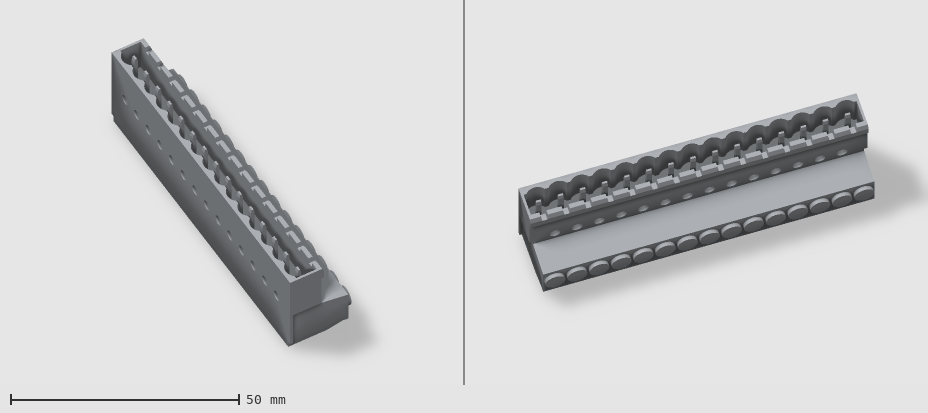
import cadquery as cq

pole_count = 15
pitch = 5.08
total_length = 77.8
total_height = 22.0

shroud_depth = 7.9
shroud_bottom = 10.8
end_wall = 0.58
pocket_back = 7.1
pocket_floor = 13.6
cusp_wall = 1.9
scallop_wall = 0.85
scallop_radius = 2.7

rail_bottom = 19.0
rail_nose_top = 20.85
rail_nose = 8.6
rail_top = 8.2
notch_bottom_width = 1.2
notch_top_width = 1.6
notch_depth = 1.3

plate_thickness = 0.7
plate_bottom = 1.6

block_length = pole_count * pitch
block_back = 15.25
block_top_back = 8.6
block_top_front = 9.9
foot_width = 0.9
foot_bottom = 0.7
foot_step = 0.2
slope_start = 9.9

screw_diameter = 4.6
screw_height = 5.45
screw_end = 16.2

hole_diameter = 2.4
hole_height = 12.0

pin_width = 1.2
pin_depth = 0.9
pin_y = 4.0
pin_top = 21.3
bevel_depth = 0.2
bevel_height = 1.0

overlap = 0.8

pole_positions = [(i - (pole_count - 1) / 2) * pitch for i in range(pole_count)]
gap_positions = [x + pitch / 2 for x in pole_positions[:-1]]


def centred_box(x, width, y_range, z_range):
    """Box of the given width centred on x, spanning the Y and Z ranges."""
    y_min, y_max = y_range
    z_min, z_max = z_range
    box = cq.Workplane("XY").box(width, y_max - y_min, z_max - z_min, centered=(True, False, False))
    return box.translate((x, y_min, z_min))


def extrude_profile(points, length):
    """Extrude a closed (Y, Z) outline along X, centred on X = 0."""
    return cq.Workplane("YZ").polyline(points).close().extrude(length / 2, both=True)


def make_shroud():
    outline = [
        (0, shroud_bottom),
        (shroud_depth, shroud_bottom),
        (shroud_depth, rail_bottom),
        (rail_nose, rail_bottom),
        (rail_nose, rail_nose_top),
        (rail_top, total_height),
        (0, total_height),
    ]
    plate = centred_box(0, total_length, (0, plate_thickness), (plate_bottom, total_height))
    return extrude_profile(outline, total_length).union(plate)


def make_block():
    outline = [
        (0, 0),
        (slope_start, 0),
        (block_back - foot_width, foot_bottom + foot_step),
        (block_back - foot_width, foot_bottom),
        (block_back, foot_bottom),
        (block_back, block_top_back),
        (shroud_depth, block_top_front),
        (shroud_depth, shroud_bottom),
        (0, shroud_bottom),
    ]
    return extrude_profile(outline, block_length)


def make_pocket():
    """Pocket with a row of round scallops along its front wall."""
    pocket = centred_box(
        0,
        total_length - 2 * end_wall,
        (cusp_wall, pocket_back),
        (pocket_floor, total_height + overlap),
    )
    scallop = (
        cq.Workplane("XY", origin=(0, scallop_wall + scallop_radius, pocket_floor))
        .circle(scallop_radius)
        .extrude(total_height + overlap - pocket_floor)
    )
    for x in pole_positions:
        pocket = pocket.union(scallop.translate((x, 0, 0)))
    return pocket


def make_notch(x):
    """Notch through the rail, slightly wider at the top than at the bottom."""
    outline = [
        (x - notch_bottom_width / 2, total_height - notch_depth),
        (x + notch_bottom_width / 2, total_height - notch_depth),
        (x + notch_top_width / 2, total_height),
        (x - notch_top_width / 2, total_height),
    ]
    start = pocket_back - overlap
    notch = cq.Workplane("XZ", origin=(0, start, 0)).polyline(outline).close()
    return notch.extrude(start - rail_nose - overlap)


def make_holes():
    return (
        cq.Workplane("XZ", origin=(0, -overlap, hole_height))
        .pushPoints([(x, 0) for x in gap_positions])
        .circle(hole_diameter / 2)
        .extrude(-(shroud_depth + 2 * overlap))
    )


def make_pin(x):
    """Flat-sided pin whose tip is bevelled on the front and back."""
    half = pin_depth / 2
    outline = [
        (pin_y - half, pocket_floor - overlap),
        (pin_y + half, pocket_floor - overlap),
        (pin_y + half, pin_top - bevel_height),
        (pin_y + half - bevel_depth, pin_top),
        (pin_y - half + bevel_depth, pin_top),
        (pin_y - half, pin_top - bevel_height),
    ]
    return extrude_profile(outline, pin_width).translate((x, 0, 0))


def make_screw(x):
    return (
        cq.Workplane("XZ", origin=(x, block_back - overlap, screw_height))
        .circle(screw_diameter / 2)
        .extrude(block_back - overlap - screw_end)
    )


result = make_shroud().union(make_block()).cut(make_pocket()).cut(make_holes())
for pole_x in pole_positions:
    result = result.cut(make_notch(pole_x))
    result = result.union(make_pin(pole_x)).union(make_screw(pole_x))